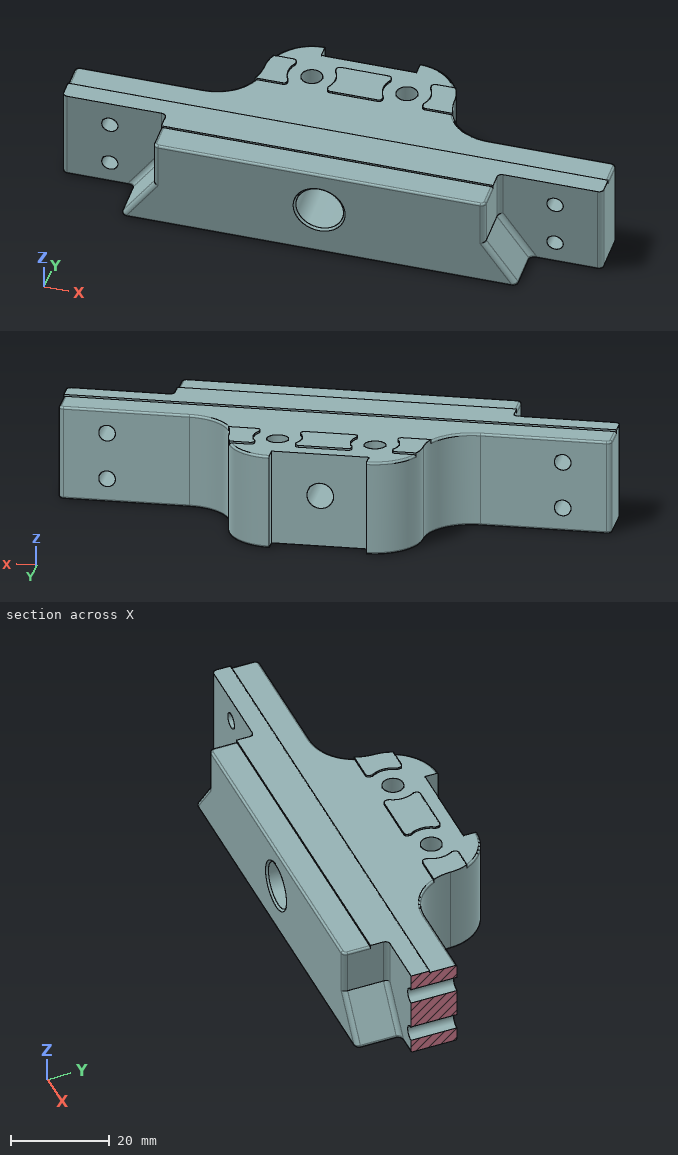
import cadquery as cq
import math

LENGTH = 114.0
BAR_FRONT_Y = 9.9
FULL_HEIGHT = 20.4
PAD_HEIGHT = 0.4
BODY_HEIGHT = FULL_HEIGHT - PAD_HEIGHT
CORNER_RADIUS = 1.0
EDGE_RADIUS = 0.5

LOBE_RADIUS = 10.0
HOLLOW_RADIUS = 9.9
LOBE_X = 10.0
BACK_Y = 40.0
LOBE_Y = BACK_Y - LOBE_RADIUS
BAR_BACK_Y = LOBE_Y - HOLLOW_RADIUS
NOTCH_WIDTH = 2 * LOBE_X
NOTCH_FLOOR_Y = 37.0

BLOCK_TOP_HALF = 35.0
BLOCK_BASE_HALF = 42.2
BLOCK_KINK_Z = 10.0
BLOCK_EDGE_RADIUS = 1.0

STRIP_FRONT_Y = 6.0
STRIP_BACK_Y = 14.0
PAD_DEPTH = 8.0
PAD_GAP_HALF = 4.2
PAD_RELIEF_DIAMETER = 10.0
PAD_CORNER_RADIUS = 0.8

LOBE_HOLE_DIAMETER = 4.5
END_HOLE_DIAMETER = 3.4
END_HOLE_X = 47.0
END_HOLE_HEIGHTS = (5.0, 14.9)
CENTRE_HOLE_Z = 11.0
CENTRE_HOLE_DIAMETER = 5.5
CENTRE_BORE_DIAMETER = 10.0
CENTRE_BORE_DEPTH = 20.0
CENTRE_BORE_CHAMFER = 0.5


def plate(height):
    """Bar with the two rear lobes, as one upright prism."""
    half = LENGTH / 2
    bulge = LOBE_RADIUS * math.sqrt(0.5)
    dip = HOLLOW_RADIUS * math.sqrt(0.5)
    lobe_side = LOBE_X + LOBE_RADIUS
    hollow_x = lobe_side + HOLLOW_RADIUS
    outline = (
        cq.Workplane("XY")
        .moveTo(-half, BAR_FRONT_Y)
        .lineTo(half, BAR_FRONT_Y)
        .lineTo(half, BAR_BACK_Y)
        .lineTo(hollow_x, BAR_BACK_Y)
        .threePointArc((hollow_x - dip, LOBE_Y - dip), (lobe_side, LOBE_Y))
        .threePointArc((LOBE_X + bulge, LOBE_Y + bulge), (LOBE_X, BACK_Y))
        .lineTo(-LOBE_X, BACK_Y)
        .threePointArc((-LOBE_X - bulge, LOBE_Y + bulge), (-lobe_side, LOBE_Y))
        .threePointArc((dip - hollow_x, LOBE_Y - dip), (-hollow_x, BAR_BACK_Y))
        .lineTo(-half, BAR_BACK_Y)
        .close()
    )
    prism = outline.extrude(height)
    return prism.edges("|Z and (<X or >X)").fillet(CORNER_RADIUS)


def front_block(height):
    """Block that stands forward of the bar, reaching into it for a clean join."""
    outline = [
        (-BLOCK_BASE_HALF, 0),
        (BLOCK_BASE_HALF, 0),
        (BLOCK_TOP_HALF, BLOCK_KINK_Z),
        (BLOCK_TOP_HALF, height),
        (-BLOCK_TOP_HALF, height),
        (-BLOCK_TOP_HALF, BLOCK_KINK_Z),
    ]
    return cq.Workplane("XZ").polyline(outline).close().extrude(-BAR_BACK_Y)


def block_side_edges(solid, y):
    """The upright and sloping side edges of the block that lie in the plane at y."""
    reach = LENGTH / 2 - CORNER_RADIUS
    margin = EDGE_RADIUS
    box = cq.selectors.BoxSelector(
        (-reach, y - margin, -margin),
        (reach, y + margin, FULL_HEIGHT + margin),
        boundingbox=True,
    )
    return solid.edges(box).edges("not |X")


def body(height):
    """Plate and block together, with rounded block edges and a rounded base edge."""
    joined = plate(height).union(front_block(height))
    for y in (0, BAR_FRONT_Y):
        joined = block_side_edges(joined, y).fillet(BLOCK_EDGE_RADIUS)
    return joined.faces("<Z").edges().fillet(EDGE_RADIUS)


def front_to_back_slab(width, front_y, back_y):
    """Full-height slab centred on x = 0 between two places along Y."""
    slab = cq.Workplane("XY").box(width, back_y - front_y, FULL_HEIGHT, centered=(True, False, False))
    return slab.translate((0, front_y, 0))


def at_lobe_centres():
    return cq.Workplane("XY").pushPoints([(-LOBE_X, LOBE_Y), (LOBE_X, LOBE_Y)])


def raised_areas():
    """Full-height prisms over the strip and the row of pads with hollows round the lobe holes."""
    strip = front_to_back_slab(LENGTH, STRIP_FRONT_Y, STRIP_BACK_Y)
    row = front_to_back_slab(LENGTH, LOBE_Y - PAD_DEPTH / 2, LOBE_Y + PAD_DEPTH / 2)
    gaps = at_lobe_centres().rect(2 * PAD_GAP_HALF, PAD_DEPTH).extrude(FULL_HEIGHT)
    reliefs = at_lobe_centres().circle(PAD_RELIEF_DIAMETER / 2).extrude(FULL_HEIGHT)
    pads = row.cut(gaps).edges("|Z").fillet(PAD_CORNER_RADIUS).cut(reliefs)
    return strip.union(pads)


def notch():
    """Opening between the two lobes, through the full height."""
    return front_to_back_slab(NOTCH_WIDTH, NOTCH_FLOOR_Y, BACK_Y)


def lobe_holes():
    return at_lobe_centres().circle(LOBE_HOLE_DIAMETER / 2).extrude(FULL_HEIGHT)


def end_holes():
    places = [(side * END_HOLE_X, z) for side in (-1, 1) for z in END_HOLE_HEIGHTS]
    return cq.Workplane("XZ").pushPoints(places).circle(END_HOLE_DIAMETER / 2).extrude(-BACK_Y)


def centre_hole():
    """Through hole along Y with a wider, chamfered bore from the front."""
    front = cq.Workplane("XZ").center(0, CENTRE_HOLE_Z)
    hole = front.circle(CENTRE_HOLE_DIAMETER / 2).extrude(-BACK_Y)
    bore_radius = CENTRE_BORE_DIAMETER / 2
    bore = front.circle(bore_radius).extrude(-CENTRE_BORE_DEPTH)
    mouth = front.circle(bore_radius + CENTRE_BORE_CHAMFER).extrude(-CENTRE_BORE_CHAMFER, taper=45)
    return hole.union(bore).union(mouth)


low_body = body(BODY_HEIGHT).faces(">Z").edges().fillet(EDGE_RADIUS)
raised_pads = body(FULL_HEIGHT).intersect(raised_areas())
result = low_body.union(raised_pads)
for tool in (notch(), lobe_holes(), end_holes(), centre_hole()):
    result = result.cut(tool)